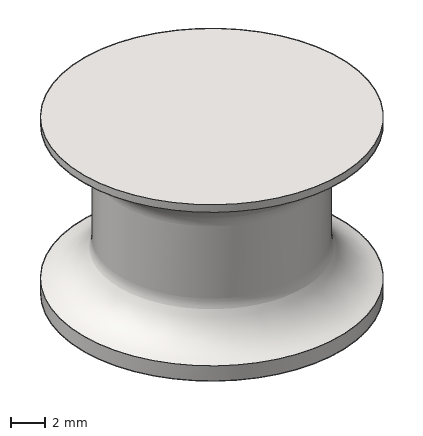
import cadquery as cq

flange_radius = 10.0
hub_radius = 7.0
height = 12.0
bottom_rim = 1.05
top_rim = 0.52
flare_height = 2.12
blend_height = 0.65
blend_step = 0.15

flare_mid_inset = 1.9
flare_mid_rise = 0.92

blend_radius = hub_radius + blend_step
blend_mid_radius = hub_radius + blend_step / 4
lower_blend = bottom_rim + flare_height
lower_hub = lower_blend + blend_height
upper_rim = height - top_rim
upper_blend = upper_rim - flare_height
upper_hub = upper_blend - blend_height
flare_mid_radius = flange_radius - flare_mid_inset

half_section = (
    cq.Workplane("XZ")
    .lineTo(flange_radius, 0)
    .lineTo(flange_radius, bottom_rim)
    .threePointArc((flare_mid_radius, bottom_rim + flare_mid_rise), (blend_radius, lower_blend))
    .threePointArc((blend_mid_radius, lower_hub - blend_height / 2), (hub_radius, lower_hub))
    .lineTo(hub_radius, upper_hub)
    .threePointArc((blend_mid_radius, upper_hub + blend_height / 2), (blend_radius, upper_blend))
    .threePointArc((flare_mid_radius, upper_rim - flare_mid_rise), (flange_radius, upper_rim))
    .lineTo(flange_radius, height)
    .lineTo(0, height)
    .close()
)

result = half_section.revolve(360, (0, 0, 0), (0, 1, 0))